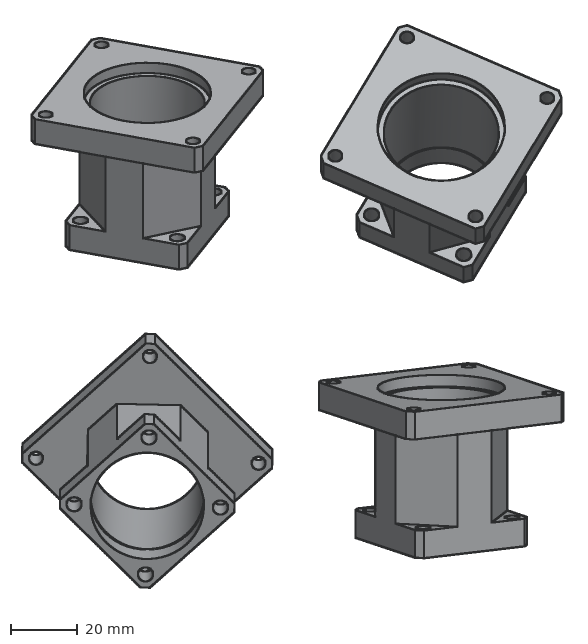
import cadquery as cq

height = 47.0
top_width = 55.0
base_width = 39.0
flange_thickness = 8.45
corner_chamfer = 2.0

neck_flat = 12.0
neck_chamfer = (base_width - neck_flat) / 2

top_hole_diameter = 4.1
top_hole_spacing = 47.2
base_hole_diameter = 4.5
base_hole_spacing = 31.0

recess_diameter = 38.1
recess_depth = 3.5
bore_diameter = 34.5
base_bore_diameter = 34.0


def chamfered_block(width, thickness, chamfer, bottom):
    """Square block with chamfered vertical edges, standing at the given height."""
    block = cq.Workplane("XY").workplane(offset=bottom).rect(width, width).extrude(thickness)
    return block.edges("|Z").chamfer(chamfer)


def cylinder(diameter, bottom, top):
    return cq.Workplane("XY").workplane(offset=bottom).circle(diameter / 2).extrude(top - bottom)


def corner_holes(diameter, spacing, bottom):
    """Four cutters through one flange, on a square pattern."""
    pattern = cq.Workplane("XY").workplane(offset=bottom).rect(spacing, spacing, forConstruction=True)
    return pattern.vertices().circle(diameter / 2).extrude(flange_thickness)


top_flange_bottom = height - flange_thickness

base = chamfered_block(base_width, flange_thickness, corner_chamfer, 0)
neck = chamfered_block(base_width, top_flange_bottom, neck_chamfer, 0)
top_flange = chamfered_block(top_width, flange_thickness, corner_chamfer, top_flange_bottom)
body = base.union(neck).union(top_flange)

body = body.cut(cylinder(base_bore_diameter, 0, flange_thickness))
body = body.cut(cylinder(bore_diameter, flange_thickness, height))
body = body.cut(cylinder(recess_diameter, height - recess_depth, height))

body = body.cut(corner_holes(top_hole_diameter, top_hole_spacing, top_flange_bottom))
result = body.cut(corner_holes(base_hole_diameter, base_hole_spacing, 0))